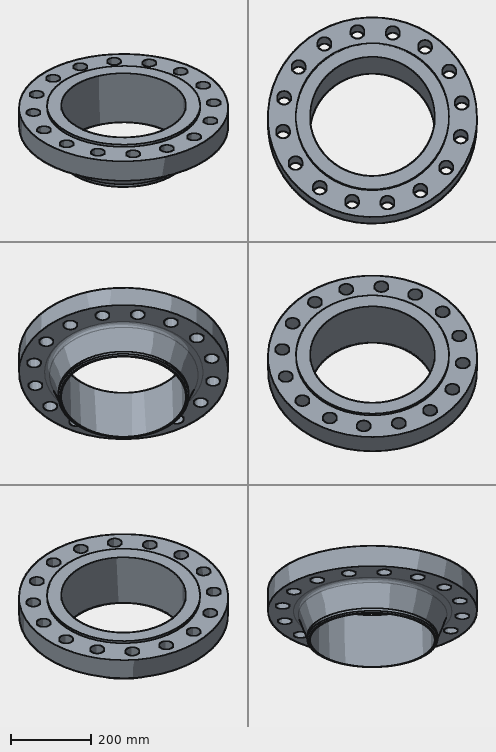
import cadquery as cq
import math

flange_diameter = 520.5
flange_thickness = 56.0
face_diameter = 381.0
face_height = 7.0
total_height = 142.5
bore_diameter = 310.5

bolt_count = 16
bolt_circle_diameter = 451.0
bolt_hole_diameter = 35.0

neck_diameter = 325.0
neck_length = 10.5
bevel_width = 4.0
bevel_height = 3.0
hub_top_diameter = 376.0
fillet_radius = 13.0

flange_radius = flange_diameter / 2
bore_radius = bore_diameter / 2
face_radius = face_diameter / 2
neck_radius = neck_diameter / 2
hub_top_radius = hub_top_diameter / 2
flange_top = total_height - face_height
flange_bottom = flange_top - flange_thickness

cone_angle = math.atan2(flange_bottom - neck_length, hub_top_radius - neck_radius)
tangent_length = fillet_radius * math.tan(cone_angle / 2)
fillet_start = (
    hub_top_radius - tangent_length * math.cos(cone_angle),
    flange_bottom - tangent_length * math.sin(cone_angle),
)
fillet_end = (hub_top_radius + tangent_length, flange_bottom)
fillet_center = (fillet_end[0], flange_bottom - fillet_radius)
mid_angle = math.pi / 2 + cone_angle / 2
fillet_middle = (
    fillet_center[0] + fillet_radius * math.cos(mid_angle),
    fillet_center[1] + fillet_radius * math.sin(mid_angle),
)


def flange_body():
    """Revolve the half section (radius, height) about the Z axis."""
    section = (
        cq.Workplane("XZ")
        .moveTo(bore_radius, 0)
        .lineTo(neck_radius - bevel_width, 0)
        .lineTo(neck_radius, bevel_height)
        .lineTo(neck_radius, neck_length)
        .lineTo(*fillet_start)
        .threePointArc(fillet_middle, fillet_end)
        .lineTo(flange_radius, flange_bottom)
        .lineTo(flange_radius, flange_top)
        .lineTo(face_radius, flange_top)
        .lineTo(face_radius, total_height)
        .lineTo(bore_radius, total_height)
        .close()
    )
    return section.revolve(360, (0, 0, 0), (0, 1, 0))


def bolt_holes():
    """Cylinders for the evenly spaced bolt holes, the first one on +X."""
    return (
        cq.Workplane("XY")
        .workplane(offset=flange_bottom)
        .polarArray(bolt_circle_diameter / 2, 0, 360, bolt_count)
        .circle(bolt_hole_diameter / 2)
        .extrude(flange_thickness)
    )


result = flange_body().cut(bolt_holes())